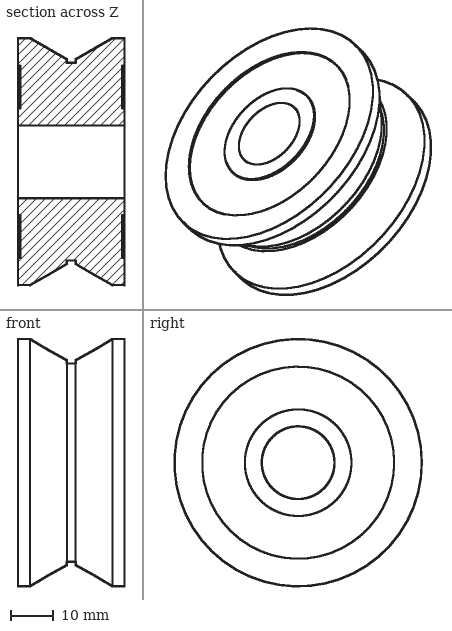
import cadquery as cq

outer_diameter = 58.0
width = 25.0
bore_diameter = 17.0

rim_width = 2.85
groove_bottom_diameter = 48.1
relief_diameter = 46.5
relief_width = 2.1

recess_outer_diameter = 45.0
hub_diameter = 25.0
recess_depth = 0.5


def ring(outer, inner, length, start):
    """Ring about the X axis, running in +X from the start position."""
    return (
        cq.Workplane("YZ", origin=(start, 0, 0))
        .circle(outer / 2)
        .circle(inner / 2)
        .extrude(length)
    )


def wheel_body():
    """Revolve the half section, with the V groove centred on X = 0."""
    half_width = width / 2
    half_relief = relief_width / 2
    rim_edge = half_width - rim_width
    bore_radius = bore_diameter / 2
    outer_radius = outer_diameter / 2
    groove_radius = groove_bottom_diameter / 2
    relief_radius = relief_diameter / 2
    section = [
        (-half_width, bore_radius),
        (-half_width, outer_radius),
        (-rim_edge, outer_radius),
        (-half_relief, groove_radius),
        (-half_relief, relief_radius),
        (half_relief, relief_radius),
        (half_relief, groove_radius),
        (rim_edge, outer_radius),
        (half_width, outer_radius),
        (half_width, bore_radius),
    ]
    return cq.Workplane("XY").polyline(section).close().revolve(360, (0, 0, 0), (1, 0, 0))


result = wheel_body()
for recess_start in (-width / 2, width / 2 - recess_depth):
    result = result.cut(ring(recess_outer_diameter, hub_diameter, recess_depth, recess_start))